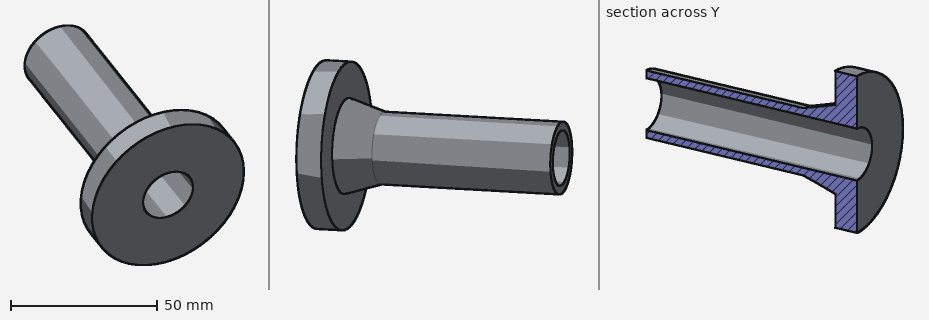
import cadquery as cq

total_length = 86.0
flange_diameter = 58.0
flange_thickness = 8.95
tube_diameter = 25.0
bore_diameter = 19.0
neck_length = 13.1
neck_base_diameter = 33.0

flange_start = total_length - flange_thickness
neck_start = flange_start - neck_length

half_section = (
    cq.Workplane("XY")
    .moveTo(0, bore_diameter / 2)
    .lineTo(0, tube_diameter / 2)
    .lineTo(neck_start, tube_diameter / 2)
    .lineTo(flange_start, neck_base_diameter / 2)
    .lineTo(flange_start, flange_diameter / 2)
    .lineTo(total_length, flange_diameter / 2)
    .lineTo(total_length, bore_diameter / 2)
    .close()
)

result = half_section.revolve(360, (0, 0, 0), (1, 0, 0))